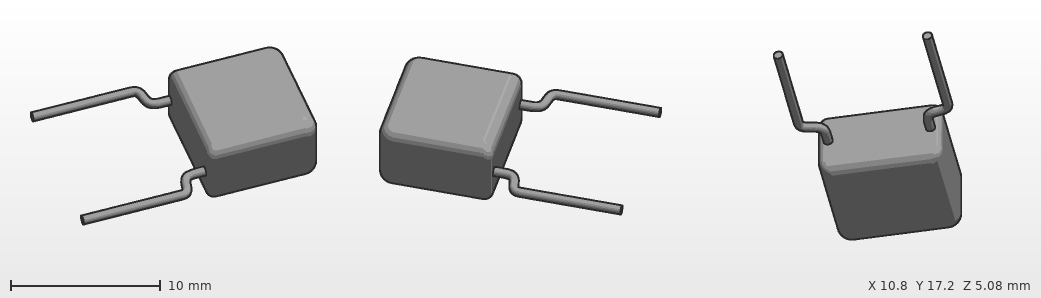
import cadquery as cq

HOUSING_WIDTH = 8.43
HOUSING_DEPTH = 7.95
HOUSING_HEIGHT = 5.08
EDGE_RADIUS = 1.0
FRONT_CORNER_RADIUS = EDGE_RADIUS / 2

OVERALL_WIDTH = 10.8
OVERALL_DEPTH = 17.16
WIRE_DIAMETER = 0.63
EXIT_X = 3.48
TAIL_X = (OVERALL_WIDTH - WIRE_DIAMETER) / 2
TAIL_END_Y = HOUSING_DEPTH - OVERALL_DEPTH
BEND_START_Y = -0.77
BEND_END_Y = -2.21
BEND_EXIT_REACH = 1.29
BEND_TAIL_REACH = 1.03
SOCKET_DEPTH = WIRE_DIAMETER


def make_lead(side):
    """Bent wire lead; side is -1 for the left lead and +1 for the right."""
    path = (
        cq.Workplane("XY")
        .moveTo(side * EXIT_X, SOCKET_DEPTH)
        .lineTo(side * EXIT_X, BEND_START_Y)
        .bezier(
            [
                (side * EXIT_X, BEND_START_Y),
                (side * EXIT_X, BEND_START_Y - BEND_EXIT_REACH),
                (side * TAIL_X, BEND_END_Y + BEND_TAIL_REACH),
                (side * TAIL_X, BEND_END_Y),
            ]
        )
        .lineTo(side * TAIL_X, TAIL_END_Y)
    )
    return (
        cq.Workplane("XZ", origin=(side * EXIT_X, SOCKET_DEPTH, 0))
        .circle(WIRE_DIAMETER / 2)
        .sweep(path)
    )


def make_housing():
    """Rounded block with a blind socket for each lead."""
    block = cq.Workplane("XY").box(
        HOUSING_WIDTH, HOUSING_DEPTH, HOUSING_HEIGHT, centered=(True, False, True)
    )
    block = block.edges("|X or |Y or (|Z and >Y)").fillet(EDGE_RADIUS)
    block = block.edges("|Z and <Y").fillet(FRONT_CORNER_RADIUS)
    sockets = (
        cq.Workplane("XZ")
        .pushPoints([(-EXIT_X, 0), (EXIT_X, 0)])
        .circle(WIRE_DIAMETER / 2)
        .extrude(-SOCKET_DEPTH)
    )
    return block.cut(sockets)


housing = make_housing()
leads = [make_lead(side) for side in (-1, 1)]

result = cq.Compound.makeCompound([housing.val(), *[lead.val() for lead in leads]])